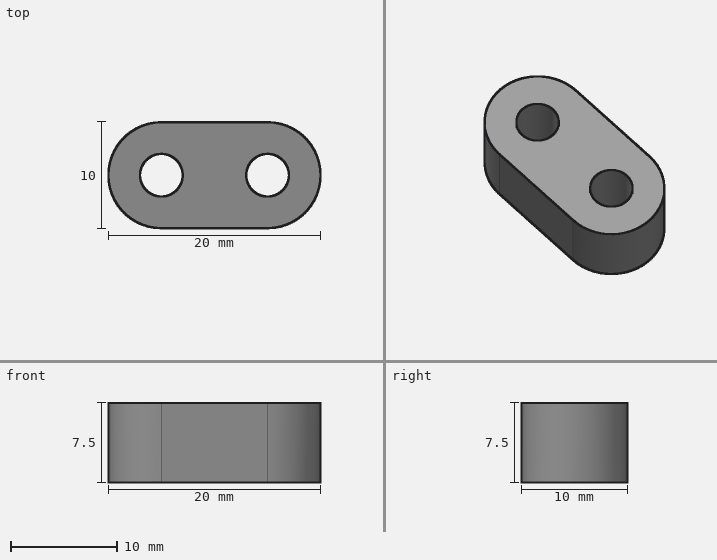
import cadquery as cq

length = 20.0
width = 10.0
height = 7.5
hole_diameter = 4.0

hole_spacing = length - width

body = cq.Workplane("XY").slot2D(length, width).extrude(height)

result = (
    body.faces(">Z")
    .workplane()
    .pushPoints([(-hole_spacing / 2, 0), (hole_spacing / 2, 0)])
    .hole(hole_diameter)
)